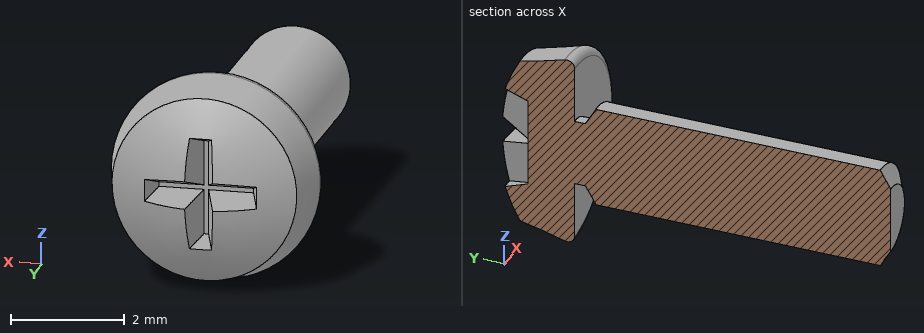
import cadquery as cq
import math


shank_length = 6.0
shank_radius = 1.0
neck_length = 0.2
bevel_length = 0.2
bevel_half_angle = math.radians(60)
bevel_tip_radius = shank_radius - bevel_length * math.tan(bevel_half_angle)
neck_radius = bevel_tip_radius

head_radius = 1.9
rim_round = 0.15
side_draft = math.radians(14.5)
shoulder_height = 1.04
dome_height = 1.49

recess_span = 2.15
recess_width = 0.52
recess_draft = 20.0
recess_depth = 0.6


def make_shank():
    """Cylinder bevelled at both ends, joined to the head by a narrow neck."""
    outline = (
        cq.Workplane("XY")
        .moveTo(0, 0)
        .lineTo(neck_radius, 0)
        .lineTo(neck_radius, -neck_length)
        .lineTo(shank_radius, -neck_length - bevel_length)
        .lineTo(shank_radius, bevel_length - shank_length)
        .lineTo(bevel_tip_radius, -shank_length)
        .lineTo(0, -shank_length)
        .close()
    )
    return outline.revolve(360, (0, 0), (0, 1))


def make_head():
    """Tapered head with a rounded lower rim and a domed top."""
    round_centre = head_radius - rim_round

    def rim_point(angle):
        """Point on the rim round, with the angle measured up from the radial direction."""
        return (
            round_centre + rim_round * math.cos(angle),
            rim_round + rim_round * math.sin(angle),
        )

    side_start = rim_point(side_draft)
    round_middle = rim_point((side_draft - math.pi / 2) / 2)
    shoulder_radius = side_start[0] - (shoulder_height - side_start[1]) * math.tan(side_draft)

    dome_rise = dome_height - shoulder_height
    dome_radius = (shoulder_radius**2 + dome_rise**2) / (2 * dome_rise)
    dome_middle_radius = shoulder_radius / 2
    dome_middle_height = dome_height - dome_radius + math.sqrt(dome_radius**2 - dome_middle_radius**2)

    outline = (
        cq.Workplane("XY")
        .moveTo(0, 0)
        .lineTo(round_centre, 0)
        .threePointArc(round_middle, side_start)
        .lineTo(shoulder_radius, shoulder_height)
        .threePointArc((dome_middle_radius, dome_middle_height), (0, dome_height))
        .close()
    )
    return outline.revolve(360, (0, 0), (0, 1))


def make_recess():
    """Two crossed slots that narrow from the dome's apex level down into the head."""
    apex_plane = cq.Workplane("XZ", origin=(0, dome_height, 0))
    slot_across_x = apex_plane.rect(recess_span, recess_width).extrude(recess_depth, taper=recess_draft)
    slot_across_z = apex_plane.rect(recess_width, recess_span).extrude(recess_depth, taper=recess_draft)
    return slot_across_x.union(slot_across_z)


def make_screw():
    """Whole screw: shank and head in one piece, with the recess cut into the head."""
    return make_shank().union(make_head()).cut(make_recess())


result = make_screw()